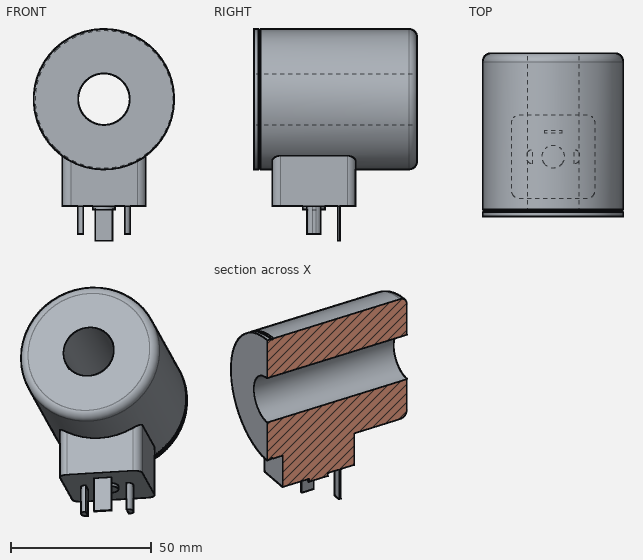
import cadquery as cq

body_diameter = 50.0
body_length = 58.0
bore_diameter = 18.2
rear_rounding = 3.0
body_radius = body_diameter / 2

cover_thickness = 1.6
groove_width = 1.0
groove_depth = 0.5

block_side = 29.7
block_corner_radius = 3.0
block_front = 6.5
block_bottom = -38.0
block_top = -15.05
block_center = block_front + block_side / 2

boss_diameter = 8.0
boss_height = 1.2

pin_thickness = 2.0
pin_width = 5.0
pin_length = 9.9
pin_corner_radius = 1.9
pin_spacing = 16.7

overall_height = 75.25
blade_width = 6.25
blade_thickness = 0.8
blade_offset = 8.9
blade_length = overall_height - body_radius + block_bottom


def make_body():
    """Revolve the half section of the coil, with groove and rounded rear edge, about Y."""
    bore_radius = bore_diameter / 2
    groove_end = cover_thickness + groove_width
    return (
        cq.Workplane("XY")
        .moveTo(bore_radius, 0)
        .lineTo(body_radius, 0)
        .lineTo(body_radius, cover_thickness)
        .lineTo(body_radius - groove_depth, cover_thickness + groove_width / 2)
        .lineTo(body_radius, groove_end)
        .lineTo(body_radius, body_length - rear_rounding)
        .radiusArc((body_radius - rear_rounding, body_length), -rear_rounding)
        .lineTo(bore_radius, body_length)
        .close()
        .revolve(360, (0, 0, 0), (0, 1, 0))
    )


def make_block():
    return (
        cq.Workplane("XY", origin=(0, block_center, block_bottom))
        .rect(block_side, block_side)
        .extrude(block_top - block_bottom)
        .edges("|Z")
        .fillet(block_corner_radius)
    )


def underside(x=0, y_offset=0):
    """Workplane on the block underside, offset from its centre."""
    return cq.Workplane("XY", origin=(x, block_center + y_offset, block_bottom))


def make_pin(side):
    """Contact pin on the -X (side = -1) or +X (side = 1) half of the block."""
    outer_edges = "|Z and >X" if side > 0 else "|Z and <X"
    return (
        underside(side * pin_spacing / 2)
        .rect(pin_thickness, pin_width)
        .extrude(-pin_length)
        .edges(outer_edges)
        .fillet(pin_corner_radius)
    )


boss = underside().circle(boss_diameter / 2).extrude(-boss_height)
blade = underside(y_offset=blade_offset).rect(blade_width, blade_thickness).extrude(-blade_length)

result = make_body().union(make_block()).union(boss).union(blade)
for side in (-1, 1):
    result = result.union(make_pin(side))